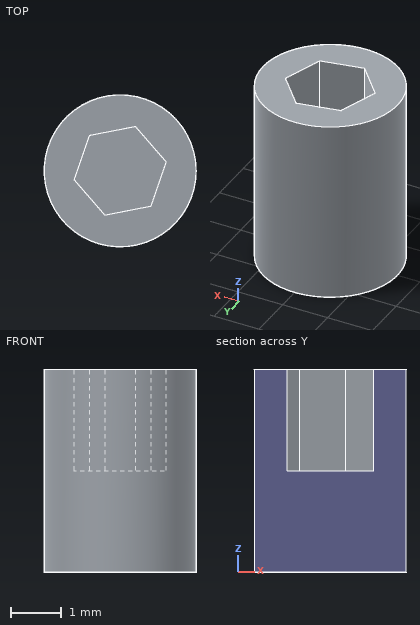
import cadquery as cq
import math

BODY_DIAMETER = 3.0
BODY_LENGTH = 4.0
SOCKET_SIDES = 6
SOCKET_ACROSS_FLATS = 1.6
SOCKET_DEPTH = 2.0
SOCKET_ROTATION = 11.0

SOCKET_ACROSS_CORNERS = SOCKET_ACROSS_FLATS / math.cos(math.pi / SOCKET_SIDES)


def make_body():
    """Plain cylinder standing on the XY plane."""
    return cq.Workplane("XY").circle(BODY_DIAMETER / 2).extrude(BODY_LENGTH)


def make_socket():
    """Blind hexagonal prism sunk from the top face."""
    return (
        cq.Workplane("XY")
        .workplane(offset=BODY_LENGTH - SOCKET_DEPTH)
        .polygon(SOCKET_SIDES, SOCKET_ACROSS_CORNERS)
        .extrude(SOCKET_DEPTH)
        .rotate((0, 0, 0), (0, 0, 1), SOCKET_ROTATION)
    )


result = make_body().cut(make_socket())